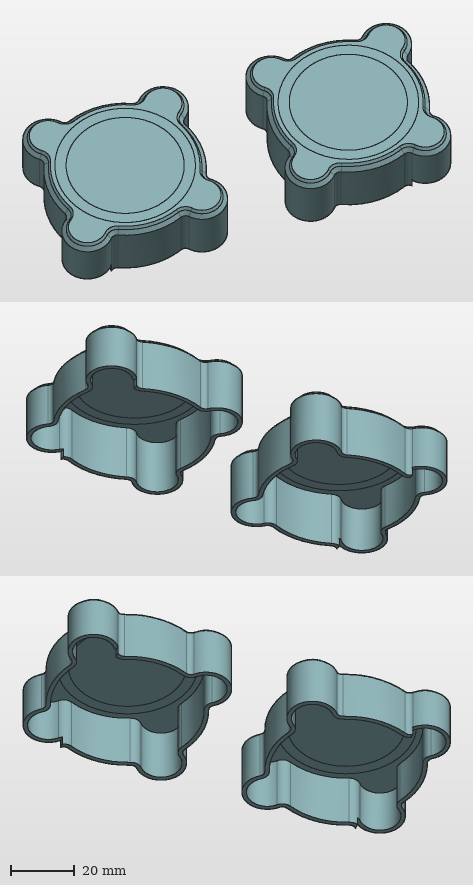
import cadquery as cq
import math

total_length = 128.0
unit_width = 53.2
unit_length = 54.0
height = 19.6
unit_offset = (total_length - unit_length) / 2

body_radius = 51.0 / 2
lobe_radius = 16.0 / 2
neck_radius = 2.0
lobe_x = unit_width / 2 - lobe_radius
lobe_y = unit_length / 2 - lobe_radius
top_chamfer = 2.0

wall = 1.4
roof = 1.0
opening_height = 3.0

ring_diameter = 44.0
disc_diameter = 37.0


def point_towards(start, end, distance):
    """Point at a given distance from start, on the line to end."""
    share = distance / math.dist(start, end)
    return (start[0] + share * (end[0] - start[0]), start[1] + share * (end[1] - start[1]))


def neck_points(side):
    """Body end, middle and lobe end of a neck arc beside the +X +Y lobe.

    side is -1 for the neck nearer the X axis and 1 for the one nearer the Y axis.
    """
    origin = (0, 0)
    lobe = (lobe_x, lobe_y)
    to_lobe = math.dist(origin, lobe)
    to_neck = body_radius + neck_radius
    lobe_to_neck = lobe_radius + neck_radius
    cosine = (to_lobe**2 + to_neck**2 - lobe_to_neck**2) / (2 * to_lobe * to_neck)
    angle = math.atan2(lobe_y, lobe_x) + side * math.acos(cosine)
    neck = (to_neck * math.cos(angle), to_neck * math.sin(angle))

    body_end = point_towards(neck, origin, neck_radius)
    lobe_end = point_towards(neck, lobe, neck_radius)
    chord_middle = ((body_end[0] + lobe_end[0]) / 2, (body_end[1] + lobe_end[1]) / 2)
    return body_end, point_towards(neck, chord_middle, neck_radius), lobe_end


def body_arc_middle(start, end):
    """Middle of the body arc between two points on it."""
    return point_towards((0, 0), (start[0] + end[0], start[1] + end[1]), body_radius)


def housing_outline():
    """Closed outline of the housing, centred on the origin."""
    body_low, neck_low, lobe_low = neck_points(-1)
    body_high, neck_high, lobe_high = neck_points(1)
    body_east = (body_radius, 0)
    body_north = (0, body_radius)
    lobe_tip = point_towards((lobe_x, lobe_y), (0, 0), -lobe_radius)
    return (
        cq.Workplane("XY")
        .moveTo(*body_east)
        .threePointArc(body_arc_middle(body_east, body_low), body_low)
        .threePointArc(neck_low, lobe_low)
        .threePointArc(lobe_tip, lobe_high)
        .threePointArc(neck_high, body_high)
        .threePointArc(body_arc_middle(body_high, body_north), body_north)
        .mirrorY()
        .mirrorX()
    )


def roof_disc(diameter):
    """Round disc filling the thickness of the roof."""
    return cq.Workplane("XY", origin=(0, 0, height - roof)).circle(diameter / 2).extrude(roof)


def make_housing():
    """Lobed shell with a round hole in its roof and a low opening towards -Y."""
    block = housing_outline().extrude(height).faces(">Z").chamfer(top_chamfer)
    cavity = housing_outline().offset2D(-wall).extrude(height - roof)

    opening_end = -neck_points(-1)[2][1]
    opening = cq.Workplane("XY").box(unit_width, unit_length, opening_height, centered=(True, False, False))
    opening = opening.translate((0, opening_end - unit_length, 0))
    return block.cut(cavity).cut(opening).cut(roof_disc(ring_diameter))


def make_ring():
    return roof_disc(ring_diameter).cut(roof_disc(disc_diameter))


def make_disc():
    return roof_disc(disc_diameter)


def place(body, turn, y):
    """Copy of a body turned about Z and moved along Y."""
    return body.rotate((0, 0, 0), (0, 0, 1), turn).translate((0, y, 0)).val()


bodies = []
for turn, y in [(0, -unit_offset), (180, unit_offset)]:
    for body in (make_housing(), make_ring(), make_disc()):
        bodies.append(place(body, turn, y))

result = cq.Compound.makeCompound(bodies)